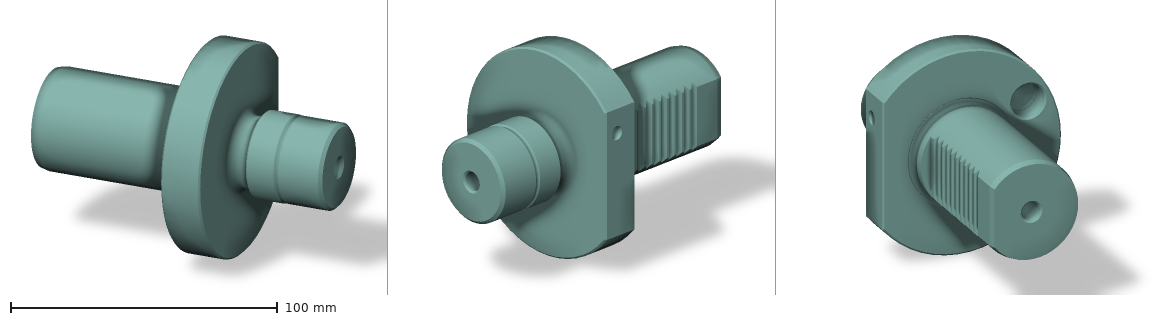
import cadquery as cq
import math


shank_length = 63.0
flange_thickness = 16.0
total_length = 118.0
flange_end = shank_length + flange_thickness

shank_diameter = 40.0
shank_radius = shank_diameter / 2
shank_lead_in_length = 3.0
shank_lead_in_depth = 0.7
taper_start = 59.1
taper_end = 61.4
relief_radius = 19.4
root_fillet = 1.3
root_start = shank_length - root_fillet

flat_height = 15.9
flat_end = 55.8
tooth_count = 10
tooth_pitch = 4.0
tooth_depth = 1.5
first_tooth = 15.1

flange_diameter = 83.0
flange_width = 73.9
flange_radius = flange_diameter / 2
flange_flat_height = flange_width - flange_radius
flange_chamfer = 0.7

neck_radius = 28.0 / 2
neck_fillet = 2.8
collar_start = 86.8
collar_radius = 34.0 / 2
collar_chamfer = 0.7
groove_start = 99.1
groove_end = 99.6
groove_radius = 16.4
tip_radius = 33.6 / 2
tip_chamfer = 1.3

bore_diameter = 7.5
bore_chamfer = 0.7

port_y = -27.7
port_z = 16.0
port_radius = 13.7 / 2
port_drill_radius = 13.2 / 2
port_chamfer = 0.7
port_depth = 7.8
port_drill_depth = 9.9
drill_point_angle = 118
channel_radius = 5.7 / 2
channel_depth = 10.0

seal_inner_radius = relief_radius + root_fillet
seal_outer_radius = 21.7
seal_depth = 1.1
seal_edge_chamfer = 0.4


def turned_blank():
    """Shank and spigot, revolved about X as one profile that runs through the flange."""
    arc_drop = math.sqrt(0.5)
    root_center_r = relief_radius + root_fillet
    neck_center_x = flange_end + neck_fillet
    neck_center_r = neck_radius + neck_fillet
    profile = (
        cq.Workplane("XY")
        .lineTo(0, shank_radius)
        .lineTo(taper_start, shank_radius)
        .lineTo(taper_end, relief_radius)
        .lineTo(root_start, relief_radius)
        .threePointArc(
            (root_start + root_fillet * arc_drop, root_center_r - root_fillet * arc_drop),
            (shank_length, root_center_r),
        )
        .lineTo(flange_end, neck_center_r)
        .threePointArc(
            (neck_center_x - neck_fillet * arc_drop, neck_center_r - neck_fillet * arc_drop),
            (neck_center_x, neck_radius),
        )
        .lineTo(collar_start, neck_radius)
        .lineTo(collar_start, collar_radius - collar_chamfer)
        .lineTo(collar_start + collar_chamfer, collar_radius)
        .lineTo(groove_start - collar_chamfer, collar_radius)
        .lineTo(groove_start, groove_radius)
        .lineTo(groove_end, groove_radius)
        .lineTo(groove_end + 2 * (tip_radius - groove_radius), tip_radius)
        .lineTo(total_length - tip_chamfer, tip_radius)
        .lineTo(total_length, tip_radius - tip_chamfer)
        .lineTo(total_length, 0)
        .close()
    )
    return profile.revolve(360, (0, 0, 0), (1, 0, 0))


def flat_cutter():
    """Removes the +Y side of the shank up to the shoulder at flat_end."""
    return cq.Workplane("XY").box(
        flat_end, shank_radius, 2 * shank_radius, centered=(False, False, True)
    ).translate((0, flat_height, 0))


def tooth_cutter(x):
    """A 90 degree groove across the flat."""
    return (
        cq.Workplane("XY")
        .moveTo(x - tooth_depth, flat_height)
        .lineTo(x, flat_height - tooth_depth)
        .lineTo(x + tooth_depth, flat_height)
        .close()
        .extrude(shank_radius, both=True)
    )


def flange():
    """Disc with a flat on its +Y side and chamfered rims."""
    disc = cq.Workplane("YZ").workplane(offset=shank_length).circle(flange_radius).extrude(flange_thickness)
    beyond_flat = (
        cq.Workplane("XY")
        .box(flange_thickness, flange_radius, flange_diameter, centered=(False, False, True))
        .translate((shank_length, flange_flat_height, 0))
    )
    return disc.cut(beyond_flat).faces("<X or >X").edges().chamfer(flange_chamfer)


def port_cutter():
    """Blind port: chamfered mouth, slightly wider outer stretch, then a drilled hole with a conical bottom."""
    point_length = port_drill_radius / math.tan(math.radians(drill_point_angle / 2))
    mouth_radius = port_radius + port_chamfer
    return (
        cq.Workplane("XY")
        .lineTo(0, mouth_radius)
        .lineTo(port_chamfer, port_radius)
        .lineTo(port_depth, port_radius)
        .lineTo(port_depth, port_drill_radius)
        .lineTo(port_drill_depth, port_drill_radius)
        .lineTo(port_drill_depth + point_length, 0)
        .close()
        .revolve(360, (0, 0, 0), (1, 0, 0))
        .translate((shank_length, port_y, port_z))
    )


def channel_cutter():
    """Channel along Y from the port to the flat of the flange."""
    return (
        cq.Workplane("XZ", origin=(shank_length + channel_depth, port_y, port_z))
        .circle(channel_radius)
        .extrude(-(flange_flat_height - port_y))
    )


def bore_cutter():
    """Through bore with both mouths chamfered."""
    bore_radius = bore_diameter / 2
    mouth_radius = bore_radius + bore_chamfer
    return (
        cq.Workplane("XY")
        .lineTo(0, mouth_radius)
        .lineTo(bore_chamfer, bore_radius)
        .lineTo(total_length - bore_chamfer, bore_radius)
        .lineTo(total_length, mouth_radius)
        .lineTo(total_length, 0)
        .close()
        .revolve(360, (0, 0, 0), (1, 0, 0))
    )


def seal_ring():
    """Flat ring that fills the recess in the flange face."""
    return (
        cq.Workplane("YZ")
        .workplane(offset=shank_length)
        .circle(seal_outer_radius)
        .circle(seal_inner_radius)
        .extrude(seal_depth)
    )


def seal_edge_cutter():
    """Chamfer on the outer rim of the seal recess."""
    return (
        cq.Workplane("XY")
        .moveTo(shank_length, seal_outer_radius)
        .lineTo(shank_length, seal_outer_radius + seal_edge_chamfer)
        .lineTo(shank_length + seal_edge_chamfer, seal_outer_radius)
        .close()
        .revolve(360, (0, 0, 0), (1, 0, 0))
    )


def holder(seal):
    """Shank, flange and spigot in one piece, with a recess that fits the seal ring."""
    body = turned_blank().cut(flat_cutter())
    body = body.faces("<X").edges().chamfer(shank_lead_in_depth, shank_lead_in_length)
    for index in range(tooth_count):
        body = body.cut(tooth_cutter(first_tooth + index * tooth_pitch))
    body = body.union(flange())
    body = body.cut(port_cutter()).cut(channel_cutter()).cut(bore_cutter())
    return body.cut(seal).cut(seal_edge_cutter())


seal = seal_ring()
body = holder(seal)

result = cq.Compound.makeCompound([body.val(), seal.val()])